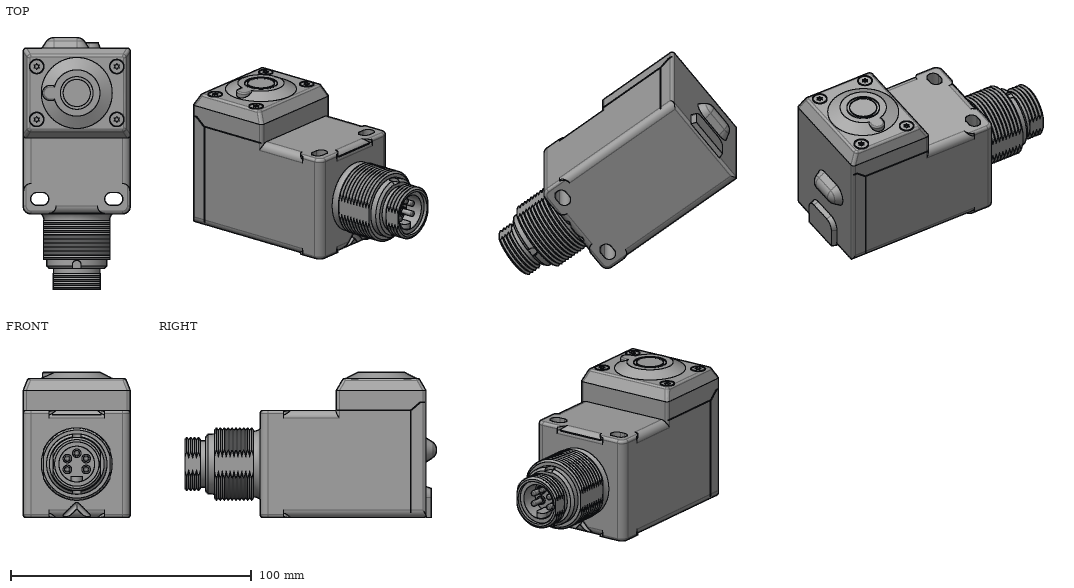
import cadquery as cq
import math


overall_length = 104.6
overall_height = 60.5

body_size = 44.6
body_depth = 69.0
front_corner_radius = 3.2
back_corner_radius = 1.4
small_edge_radius = 1.3

edge_round = 3.2
front_round_length = 23.1
side_round_start = 9.7
end_round = 2.9
crease_height = 1.7
crease_size = 0.3
crease_depth = 0.5

head_front = 31.6
head_shoulder = 52.8
head_top = 57.9
head_inset_x = 2.0
head_inset_y = 2.9
head_edge_radius = 1.3
head_center = (head_front + body_depth) / 2

cap_base_radius = 14.8
cap_top_radius = 9.6
button_radius = 6.8
button_face_radius = 5.7
button_groove_depth = 0.4
tab_radius = 3.1
tab_center = 11.1
tab_edge_radius = 0.6

screw_spacing_x = 33.3
screw_spacing_y = 22
screw_radius = 3.0
screw_gap = 0.2
screw_gap_depth = 0.3
socket_radius = 1.3
socket_inner_radius = 0.7
socket_depth = 0.8
socket_lobes = 6

slot_x = 15.4
slot_y = 6.3
slot_length = 7.4
slot_width = 5.2

arrow_tip = 5.2
arrow_width = 2.3
arrow_depth = 1.6
seam_width = 0.2
lid_edge = 62.4
lid_peak_start = 66.6
lid_peak = 48.1

axis_z = body_size / 2
base_radius = 13.7
base_flare = 1.0
base_curve = 3.7
large_start = 2.7
large_end = 18.9
large_crest = 15.1
large_root = 14.1
large_flat = 13.8
large_teeth = 10
collar_radius = 12.6
collar_end = 22.7
collar_chamfer = 1.2
neck_radius = 9.7
small_start = 24.8
small_end = 31.3
small_crest = 11.1
small_root = 10.2
small_flat = 9.8
small_teeth = 4
notch_width = 3.7
notch_length = 3.5
notch_floor = 11.0

mouth_radius = 9.2
mouth_depth = 1.6
bore_radius = 7.4
bore_depth = 9.4
pin_circle = 4.5
pin_angles = (30, 90, 150, 210, 330)
pin_sleeve_radius = 1.8
pin_sleeve_height = 1
pin_radius = 1.2
pin_length = 6.3
pin_tip_round = 0.5
key_width = 4.6
key_top = 5.1
key_length = 7.3

dome_height = overall_length - small_end - body_depth
dome_radius = 5.0
dome_tip_radius = 3.2
dome_flank_height = 2.8
dome_z = 28.2
dome_left = -9.4
dome_right = 0.0
plate_width = 19.5
plate_height = 13.0
plate_thickness = 2.2
plate_corner = 4.6
plate_taper = 20


def edge_cutter(start, end):
    """Waste outside a large round on an edge along X, with the body on its +Y, -Z side."""
    waste = (
        cq.Workplane("XY")
        .moveTo(start, 0)
        .lineTo(end, 0)
        .lineTo(end, edge_round - end_round)
        .radiusArc((end - end_round, edge_round), end_round)
        .lineTo(start + end_round, edge_round)
        .radiusArc((start, edge_round - end_round), end_round)
        .close()
        .extrude(-edge_round)
    )
    core = (
        cq.Workplane("YZ")
        .center(edge_round, -edge_round)
        .circle(edge_round)
        .extrude(4 * body_depth)
        .translate((-2 * body_depth, 0, 0))
    )
    return waste.cut(core)


def make_body():
    body = cq.Workplane("XY").box(body_size, body_depth, body_size, centered=(True, False, False))
    body = body.edges("|Z and <Y").fillet(front_corner_radius)
    body = body.edges("|Z and >Y").fillet(back_corner_radius)
    body = body.faces("<Z or >Z").edges().fillet(small_edge_radius)

    half = front_round_length / 2
    front_top = edge_cutter(-half, half).translate((0, 0, body_size))
    crease = (
        cq.Workplane("XY", origin=(0, 0, body_size - crease_height))
        .rect(front_round_length - end_round, 2 * crease_depth)
        .extrude(-crease_size)
    )
    body = body.cut(crease).cut(front_top).cut(front_top.mirror("XY", (0, 0, axis_z)))

    side_top = edge_cutter(-2 * body_depth, -side_round_start)
    side_top = side_top.rotate((0, 0, 0), (0, 0, 1), -90).translate((-body_size / 2, 0, body_size))
    for cutter in (side_top, side_top.mirror("XY", (0, 0, axis_z))):
        body = body.cut(cutter).cut(cutter.mirror("YZ"))
    return body


def make_head():
    depth = body_depth - head_front
    root = body_size - edge_round
    walls = (
        cq.Workplane("XY", origin=(0, head_center, root))
        .rect(body_size, depth)
        .extrude(head_shoulder - root)
        .edges("|Z")
        .fillet(back_corner_radius)
    )
    shoulder = cq.Sketch().rect(body_size, depth).vertices().fillet(back_corner_radius)
    top = (
        cq.Sketch()
        .rect(body_size - 2 * head_inset_x, depth - 2 * head_inset_y)
        .vertices()
        .fillet(back_corner_radius)
    )
    roof = (
        cq.Workplane("XY", origin=(0, head_center, head_shoulder))
        .placeSketch(shoulder, top.moved(cq.Location(cq.Vector(0, 0, head_top - head_shoulder))))
        .loft()
        .faces(">Z")
        .edges()
        .fillet(head_edge_radius)
    )
    return walls.union(roof)


def make_cap():
    cap = (
        cq.Workplane("XZ", origin=(0, head_center, 0))
        .moveTo(0, head_top)
        .lineTo(cap_base_radius, head_top)
        .lineTo(cap_top_radius, overall_height)
        .lineTo(0, overall_height)
        .close()
        .revolve(360, (0, 0), (0, 1))
    )
    tab = (
        cq.Workplane("XY", origin=(-tab_center / 2, head_center, head_top))
        .slot2D(tab_center + 2 * tab_radius, 2 * tab_radius)
        .extrude(overall_height - head_top)
        .faces(">Z")
        .edges()
        .fillet(tab_edge_radius)
    )
    return cap.union(tab)


def make_button_groove():
    return (
        cq.Workplane("XY", origin=(0, head_center, overall_height))
        .circle(button_radius)
        .circle(button_face_radius)
        .extrude(-button_groove_depth)
    )


def make_screw_cuts():
    """Ring gap around each screw head plus its star socket."""
    star = []
    for i in range(2 * socket_lobes):
        radius = socket_radius if i % 2 == 0 else socket_inner_radius
        angle = math.pi * (i + 1) / socket_lobes
        star.append((radius * math.cos(angle), radius * math.sin(angle)))
    plane = cq.Workplane("XY", origin=(0, head_center, head_top))
    places = plane.rarray(screw_spacing_x, screw_spacing_y, 2, 2)
    gaps = places.circle(screw_radius).circle(screw_radius - screw_gap).extrude(-screw_gap_depth)
    socket = cq.Workplane("XY").polyline(star).close().extrude(-socket_depth).val()
    sockets = places.eachpoint(lambda place: socket.moved(place))
    return gaps.union(sockets)


def make_slots():
    return (
        cq.Workplane("XY")
        .pushPoints([(-slot_x, slot_y), (slot_x, slot_y)])
        .slot2D(slot_length, slot_width)
        .extrude(body_size)
    )


def make_arrow_groove():
    """Chevron pointing up, with a round-bottomed section, cut into the front face at the bottom edge."""
    radius = arrow_width / 2
    arm = cq.Workplane("XY").slot2D(2 * arrow_depth, arrow_width, 90).extrude(-2 * arrow_tip)
    tip = cq.Workplane("XZ").circle(radius).extrude(radius - arrow_depth)
    groove = tip.union(cq.Workplane("XY").sphere(radius).translate((0, arrow_depth - radius, 0)))
    for angle in (-45, 45):
        groove = groove.union(arm.rotate((0, 0, 0), (0, 1, 0), angle))
    return groove.translate((0, 0, arrow_tip))


def make_seams():
    """Thin parting grooves of the lid and head on both side faces."""
    lid = [(lid_edge, 0), (lid_edge, body_size), (lid_peak_start, lid_peak), (body_depth, lid_peak)]
    lid_groove = lid + [(y + seam_width, z - seam_width) for y, z in reversed(lid)]
    seams = cq.Workplane("YZ").polyline(lid_groove).close().extrude(seam_width)
    head_seam = (
        cq.Workplane("YZ")
        .moveTo(head_front, body_size)
        .lineTo(lid_edge, body_size)
        .lineTo(lid_edge, body_size + seam_width)
        .lineTo(head_front, body_size + seam_width)
        .close()
        .extrude(seam_width)
    )
    left = seams.union(head_seam).translate((-body_size / 2, 0, 0))
    return left.union(left.mirror("YZ"))


def make_dome():
    """Long rounded button on the back: a straight ridge with a revolved end on each side."""
    tip_rise = dome_height - dome_flank_height
    tip_sphere = (dome_tip_radius**2 + tip_rise**2) / (2 * tip_rise)

    def profile(plane):
        return (
            plane.moveTo(0, 0)
            .lineTo(dome_radius, 0)
            .lineTo(dome_tip_radius, dome_flank_height)
            .radiusArc((0, dome_height), -tip_sphere)
            .close()
        )

    dome = None
    for x in (dome_left, dome_right):
        plane = cq.Plane(origin=(x, body_depth, dome_z), xDir=(1, 0, 0), normal=(0, 0, 1))
        end = profile(cq.Workplane(plane)).revolve(360, (0, 0), (0, 1))
        dome = end if dome is None else dome.union(end)
    ridge_plane = cq.Plane(origin=(dome_left, body_depth, dome_z), xDir=(0, 0, -1), normal=(1, 0, 0))
    half = profile(cq.Workplane(ridge_plane)).extrude(dome_right - dome_left)
    return dome.union(half).union(half.mirror("XY", (0, 0, dome_z)))


def make_back_plate():
    outline = cq.Sketch().rect(plate_width, 2 * plate_height).vertices().fillet(plate_corner)
    plate = (
        cq.Workplane("XZ", origin=(0, body_depth, 0))
        .placeSketch(outline)
        .extrude(-plate_thickness, taper=plate_taper)
    )
    keep = cq.Workplane("XY", origin=(0, body_depth, 0)).rect(body_size, body_size).extrude(body_size)
    return plate.intersect(keep)


def ring(radius, start, end):
    """Disc about the connector axis between two stations."""
    return cq.Workplane("XZ", origin=(0, -start, axis_z)).circle(radius).extrude(end - start)


def thread(start, end, root, crest, flat, teeth):
    """Ridged cylinder with a flat on the left and right."""
    pitch = (end - start) / teeth
    outline = cq.Workplane("XY").moveTo(0, -start).lineTo(root, -start)
    for i in range(teeth):
        ridge_start = start + i * pitch
        outline = outline.lineTo(crest, -(ridge_start + pitch / 2)).lineTo(root, -(ridge_start + pitch))
    body = outline.lineTo(0, -end).close().revolve(360, (0, 0), (0, 1)).translate((0, 0, axis_z))
    flats = cq.Workplane("XZ", origin=(0, -start, axis_z)).rect(2 * flat, 4 * crest).extrude(end - start)
    return body.intersect(flats)


def make_connector():
    flare = (
        cq.Workplane("XY")
        .lineTo(base_radius + base_flare, 0)
        .radiusArc((base_radius, -large_start), -base_curve)
        .lineTo(0, -large_start)
        .close()
        .revolve(360, (0, 0), (0, 1))
        .translate((0, 0, axis_z))
    )
    collar = ring(collar_radius, large_end, collar_end).faces("<Y").chamfer(collar_chamfer)
    collar = collar.cut(make_notches())
    connector = (
        flare.union(thread(large_start, large_end, large_root, large_crest, large_flat, large_teeth))
        .union(collar)
        .union(ring(neck_radius, collar_end, small_start))
        .union(thread(small_start, small_end, small_root, small_crest, small_flat, small_teeth))
    )
    connector = connector.cut(ring(mouth_radius, small_end - mouth_depth, small_end))
    connector = connector.cut(ring(bore_radius, small_end - bore_depth, small_end))
    return connector.union(make_pins()).union(make_key())


def make_notches():
    """Round-ended notches at the top and bottom of the collar."""
    depth = collar_radius - notch_floor
    notch = (
        cq.Workplane("XY", origin=(0, -collar_end, axis_z + notch_floor))
        .slot2D(2 * notch_length, notch_width, 90)
        .extrude(depth)
    )
    return notch.union(notch.mirror("XY", (0, 0, axis_z)))


def make_pins():
    floor = small_end - bore_depth
    pin = ring(pin_radius, floor, floor + pin_length).faces("<Y").edges().fillet(pin_tip_round)
    pin = pin.union(ring(pin_sleeve_radius, floor, floor + pin_sleeve_height))
    pins = cq.Workplane("XY")
    for angle in pin_angles:
        across = pin_circle * math.cos(math.radians(angle))
        up = pin_circle * math.sin(math.radians(angle))
        pins = pins.union(pin.translate((across, 0, up)))
    return pins


def make_key():
    """Round-nosed key standing on the bottom of the socket."""
    floor = small_end - bore_depth
    key = (
        cq.Workplane("XY", origin=(0, -floor, axis_z - key_top))
        .slot2D(2 * key_length, key_width, 90)
        .extrude(key_top - mouth_radius)
    )
    return key.intersect(ring((bore_radius + mouth_radius) / 2, floor, small_end))


result = (
    make_body()
    .union(make_head())
    .union(make_cap())
    .union(make_dome())
    .union(make_back_plate())
    .union(make_connector())
    .cut(make_slots())
    .cut(make_button_groove())
    .cut(make_screw_cuts())
    .cut(make_arrow_groove())
    .cut(make_seams())
)